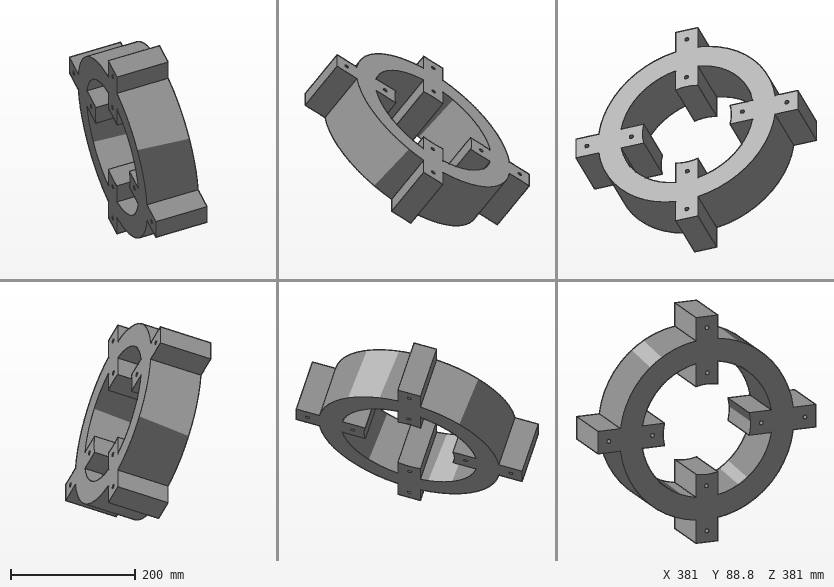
import cadquery as cq

span = 381.0
depth = 88.8
arm_width = 38.0
ring_outer_radius = 152.5
ring_inner_radius = 114.3
bore_radius = 76.2
hole_diameter = 6.5
outer_hole_radius = 171.5
inner_hole_radius = 95.2
inner_hole_offset = 0.8
arm_count = 4


def cylinder(radius):
    """Solid cylinder along Y, centred on the origin."""
    return cq.Workplane("XZ").circle(radius).extrude(depth / 2, both=True)


def arm():
    """Upright arm reaching from the centre to the outer tip, with its two through holes."""
    bar = cq.Workplane("XY").box(arm_width, depth, span / 2, centered=(True, True, False))
    holes = (
        cq.Workplane("XZ")
        .pushPoints([(0, outer_hole_radius), (-inner_hole_offset, inner_hole_radius)])
        .circle(hole_diameter / 2)
        .extrude(depth, both=True)
    )
    return bar.cut(cylinder(bore_radius)).cut(holes)


ring = cylinder(ring_outer_radius).cut(cylinder(ring_inner_radius))

result = ring
for index in range(arm_count):
    angle = index * 360 / arm_count
    result = result.union(arm().rotate((0, 0, 0), (0, 1, 0), angle))